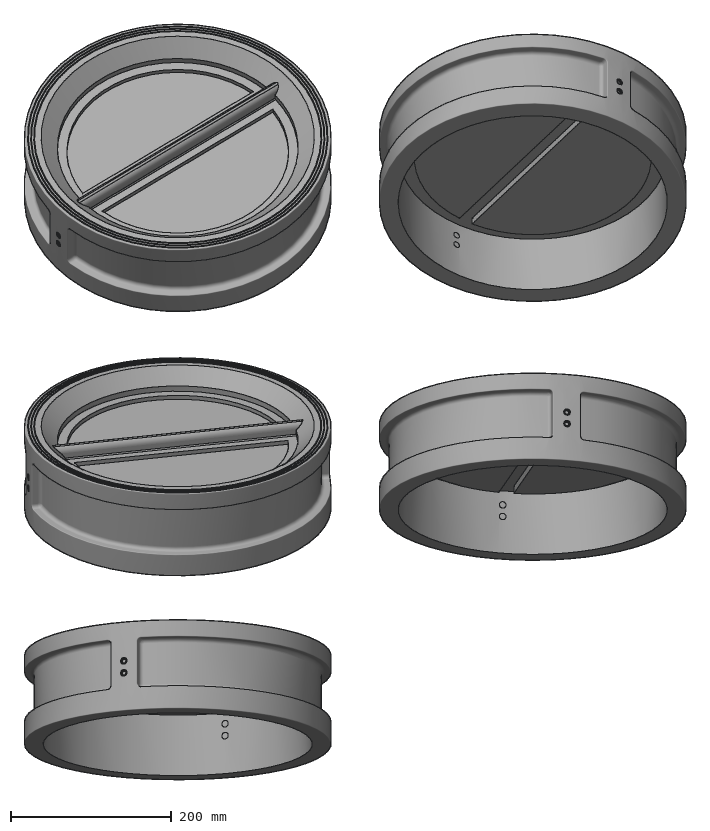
import cadquery as cq
import math


SIDES = (-1, 1)

outer_radius = 191.0
height = 114.0
rim_round = 0.95

cone_top_radius = 170.0
cone_depth = 19.0
throat_radius = 149.7
throat_depth = 7.3
seat_thickness = 5.5
window_radius = 138.0
window_half_gap = 19.0
cone_bottom = height - cone_depth
seat_top = cone_bottom - throat_depth
seat_bottom = seat_top - seat_thickness

bore_radius = 335.0 / 2

groove_diameter = 1.0
outer_groove_radius = 186.5
groove_pitch = 4.0
groove_count = 3

recess_radius = 178.8
recess_bottom = 29.5
recess_top = 92.0
recess_round = 5.0
pad_half_width = 17.5

rib_half_width = 7.45
rib_foot = 1.5
rib_wall_height = 8.0
rib_shoulder_radius = 8.5
rib_crest_half_width = 2.0
rib_crest_rise = 0.8

disc_overlap = 9.5
disc_thickness = 9.5

plug_radius = 4.2
plug_heights = (48.5, 63.8)
socket_radius = 5.0 / 2
socket_depth = 2.0
socket_chamfer = 0.95


def cylinder(radius, bottom, top):
    return cq.Workplane("XY").workplane(offset=bottom).circle(radius).extrude(top - bottom)


def half_disc(radius, half_gap, side, bottom, top):
    """Circular segment beyond the line |X| = half_gap, on the given X side."""
    chord_end = math.sqrt(radius**2 - half_gap**2)
    return (
        cq.Workplane("XY")
        .workplane(offset=bottom)
        .moveTo(side * half_gap, -chord_end)
        .threePointArc((side * radius, 0), (side * half_gap, chord_end))
        .close()
        .extrude(top - bottom)
    )


def recess_cutter(side):
    """Half ring around the waist with all its inner edges rounded."""
    reach = outer_radius + recess_round
    ring = cylinder(reach, recess_bottom, recess_top).cut(cylinder(recess_radius, recess_bottom, recess_top))
    beyond_pads = cq.Workplane("XY").box(reach, 2 * reach, height, centered=(False, True, False))
    half_ring = ring.intersect(beyond_pads.translate((pad_half_width, 0, 0)))
    half_ring = half_ring.faces("<X").edges("|Y").fillet(recess_round)
    margin = 0.5
    floor_reach = recess_radius + margin
    floor_edges = cq.selectors.BoxSelector(
        (0, -floor_reach, 0), (floor_reach, floor_reach, height), boundingbox=True
    )
    half_ring = half_ring.edges(floor_edges).fillet(recess_round)
    return half_ring if side > 0 else half_ring.mirror("YZ")


def lies_on_outer_cylinder(edge):
    points = [edge.positionAt(fraction) for fraction in (0, 0.3, 0.7)]
    return all(math.isclose(math.hypot(point.x, point.y), outer_radius, abs_tol=0.005) for point in points)


def outer_body():
    """Flanged cylinder with both recesses cut and its outer edges rounded."""
    body = cylinder(outer_radius, 0, height)
    for side in SIDES:
        body = body.cut(recess_cutter(side))
    rim_edges = [
        edge for edge in body.edges().vals() if edge.geomType() != "LINE" and lies_on_outer_cylinder(edge)
    ]
    return body.newObject(rim_edges).fillet(rim_round)


def inlet_cavity():
    """Cone and short cylindrical throat above the seat."""
    return (
        cq.Workplane("XZ")
        .moveTo(0, seat_top)
        .lineTo(throat_radius, seat_top)
        .lineTo(throat_radius, cone_bottom)
        .lineTo(cone_top_radius, height)
        .lineTo(0, height)
        .close()
        .revolve(360, (0, 0), (0, 1))
    )


def rib():
    """Rib along Y with round shoulders and a rounded crest, ending on the inlet cone."""
    foot_x = rib_half_width + rib_foot
    foot_z = seat_top + rib_foot
    shoulder_z = seat_top + rib_wall_height
    arc_center_x = rib_half_width - rib_shoulder_radius
    arc_turn = math.acos((rib_crest_half_width - arc_center_x) / rib_shoulder_radius)
    arc_middle_x = arc_center_x + rib_shoulder_radius * math.cos(arc_turn / 2)
    arc_middle_z = shoulder_z + rib_shoulder_radius * math.sin(arc_turn / 2)
    crest_edge_z = shoulder_z + rib_shoulder_radius * math.sin(arc_turn)
    bar = (
        cq.Workplane("XZ")
        .moveTo(-foot_x, seat_top)
        .lineTo(-rib_half_width, foot_z)
        .lineTo(-rib_half_width, shoulder_z)
        .threePointArc((-arc_middle_x, arc_middle_z), (-rib_crest_half_width, crest_edge_z))
        .threePointArc((0, crest_edge_z + rib_crest_rise), (rib_crest_half_width, crest_edge_z))
        .threePointArc((arc_middle_x, arc_middle_z), (rib_half_width, shoulder_z))
        .lineTo(rib_half_width, foot_z)
        .lineTo(foot_x, seat_top)
        .close()
        .extrude(cone_top_radius, both=True)
    )
    return bar.intersect(inlet_cavity())


def sealing_groove(radius):
    """Ring of round section, centred on the inlet face."""
    return (
        cq.Workplane("XZ")
        .center(radius, height)
        .circle(groove_diameter / 2)
        .revolve(360, (-radius, 0), (-radius, 1))
    )


def plug_shaft(side, plug_z):
    """Radial rod from the valve axis out to the pad on the given Y side."""
    return cq.Workplane("XZ", origin=(0, 0, plug_z)).circle(plug_radius).extrude(-side * outer_radius)


def make_housing():
    housing = outer_body().cut(inlet_cavity()).union(rib())
    housing = housing.cut(cylinder(bore_radius, 0, seat_bottom))
    for side in SIDES:
        housing = housing.cut(half_disc(window_radius, window_half_gap, side, seat_bottom, seat_top))
    for index in range(groove_count):
        housing = housing.cut(sealing_groove(outer_groove_radius - index * groove_pitch))
    for side in SIDES:
        for plug_z in plug_heights:
            housing = housing.cut(plug_shaft(side, plug_z))
    return housing


def make_disc(side):
    """Half disc lying against the underside of the seat, overlapping its window all round."""
    radius = window_radius + disc_overlap
    half_gap = window_half_gap - disc_overlap
    return half_disc(radius, half_gap, side, seat_bottom - disc_thickness, seat_bottom)


def make_plug(side, plug_z):
    """Plug filling its hole from the bore to the pad face, with a chamfered round socket."""
    wall = cylinder(outer_radius, 0, height).cut(cylinder(bore_radius, 0, height))
    mouth_radius = socket_radius + socket_chamfer
    socket = (
        cq.Workplane("XY", origin=(0, 0, plug_z))
        .moveTo(0, side * (outer_radius - socket_depth))
        .lineTo(socket_radius, side * (outer_radius - socket_depth))
        .lineTo(socket_radius, side * (outer_radius - socket_chamfer))
        .lineTo(mouth_radius, side * outer_radius)
        .lineTo(0, side * outer_radius)
        .close()
        .revolve(360, (0, 0), (0, 1))
    )
    return plug_shaft(side, plug_z).intersect(wall).cut(socket)


housing = make_housing()
discs = [make_disc(side) for side in SIDES]
plugs = [make_plug(side, plug_z) for side in SIDES for plug_z in plug_heights]

result = cq.Compound.makeCompound([body.solids().val() for body in [housing, *discs, *plugs]])